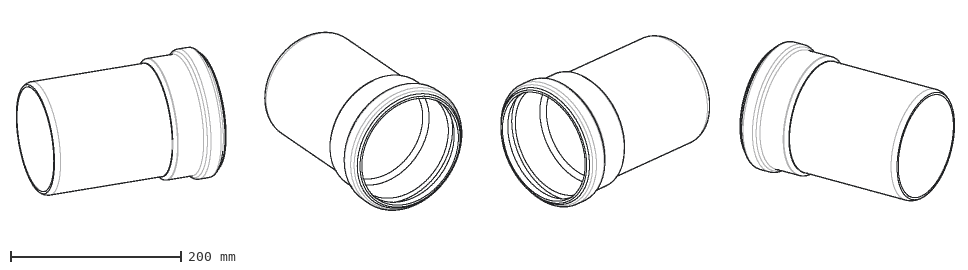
import cadquery as cq
import math

bore_radius = 124.5 / 2
spigot_radius = 135.3 / 2
spigot_tip_radius = 65.0
socket_bore_radius = 135.5 / 2
socket_radius = 145.0 / 2
seal_groove_radius = 147.5 / 2
bead_radius = 155.3 / 2
mouth_radius = 70.3

length = 213.0
mouth_bevel_length = 2.3
bead_crest_start = 9.0
bead_crest_end = 21.7
half_flank = 3.6
shoulder_start = 61.3
tip_rounding_length = 6.5
shoulder_fillet = 1.0

shoulder_angle = 45

shoulder_slope = math.tan(math.radians(shoulder_angle))
shoulder_end = shoulder_start + (socket_radius - spigot_radius) / shoulder_slope
wall = spigot_radius - bore_radius
bore_cone_end = shoulder_end + wall * math.tan(math.radians(shoulder_angle / 2))
bore_cone_start = bore_cone_end - (socket_bore_radius - bore_radius) / shoulder_slope


def station(radius, distance):
    """Profile point at a radius and a distance from the socket mouth."""
    return (radius, length / 2 - distance)


def revolve_profile(profile):
    return profile.close().revolve(360, (0, 0, 0), (0, 1, 0))


def outer_body():
    """Solid envelope: bevelled mouth, bead, socket, shoulder and rounded spigot."""
    flank_radius = (bead_radius + socket_radius) / 2
    half_rise = (bead_radius - socket_radius) / 2
    arc_radius = (half_flank**2 + half_rise**2) / (2 * half_rise)
    foot_offset = mouth_bevel_length - (bead_crest_start - 2 * half_flank)
    foot_radius = socket_radius + arc_radius - math.sqrt(arc_radius**2 - foot_offset**2)
    profile = (
        cq.Workplane("XY")
        .moveTo(*station(0, 0))
        .lineTo(*station(mouth_radius, 0))
        .lineTo(*station(foot_radius, mouth_bevel_length))
        .radiusArc(station(flank_radius, bead_crest_start - half_flank), -arc_radius)
        .radiusArc(station(bead_radius, bead_crest_start), arc_radius)
        .lineTo(*station(bead_radius, bead_crest_end))
        .radiusArc(station(flank_radius, bead_crest_end + half_flank), arc_radius)
        .radiusArc(station(socket_radius, bead_crest_end + 2 * half_flank), -arc_radius)
        .lineTo(*station(socket_radius, shoulder_start))
        .lineTo(*station(spigot_radius, shoulder_end))
        .lineTo(*station(spigot_radius, length - tip_rounding_length))
        .tangentArcPoint(station(spigot_tip_radius, length), relative=False)
        .lineTo(*station(0, length))
    )
    body = revolve_profile(profile)
    for distance in (shoulder_start, shoulder_end):
        corner_centre = (*station(0, distance), 0)
        corner_edge = cq.selectors.NearestToPointSelector(corner_centre)
        body = body.edges("%CIRCLE").edges(corner_edge).fillet(shoulder_fillet)
    return body


def inner_space():
    """Pipe bore, wider socket bore and the seal groove inside the bead."""
    profile = (
        cq.Workplane("XY")
        .moveTo(*station(0, 0))
        .lineTo(*station(socket_bore_radius, 0))
        .lineTo(*station(socket_bore_radius, bead_crest_start))
        .lineTo(*station(seal_groove_radius, bead_crest_start))
        .lineTo(*station(seal_groove_radius, bead_crest_end))
        .lineTo(*station(socket_bore_radius, bead_crest_end))
        .lineTo(*station(socket_bore_radius, bore_cone_start))
        .lineTo(*station(bore_radius, bore_cone_end))
        .lineTo(*station(bore_radius, length))
        .lineTo(*station(0, length))
    )
    return revolve_profile(profile)


result = outer_body().cut(inner_space())